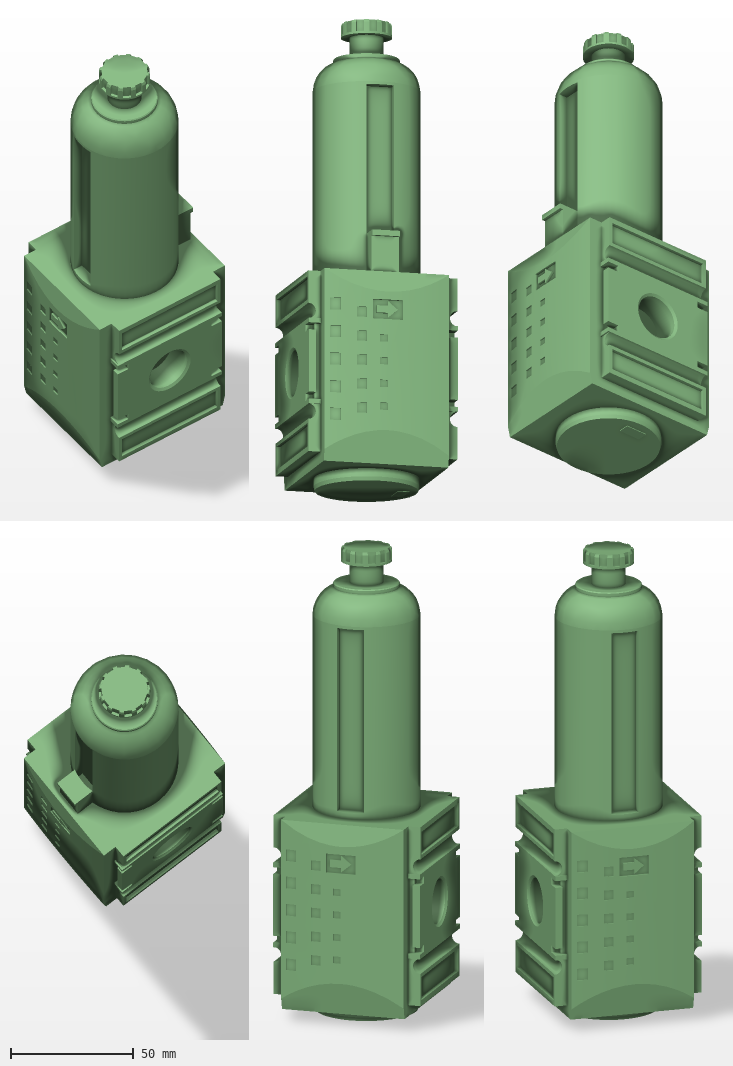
import cadquery as cq
import math


block_width = 63.0
block_depth = 52.4
block_height = 75.4
flange_setback = 0.7
block_top = block_height / 2
block_side = block_width / 2
block_front = block_depth / 2

pad_reach = 30.0
pad_base_half = 19.7
pad_tip_half = 13.0

cover_width = 52.6
cover_half = cover_width / 2
overall_depth = 67.13
crown_reach = overall_depth / 2
crown_edge_reach = 31.5
crown_rise = crown_reach - crown_edge_reach
slope_start = 28.9
slope_rate = crown_rise / (block_top - slope_start)

base_height = 4.7
base_bottom = -block_top - base_height
cap_radius = 21.6
cap_height = 5.0
cap_chamfer_height = 1.6
cap_chamfer_width = 0.5
cap_bottom = base_bottom - cap_height
key_size = (4.7, 10.0)
key_centre = (-14.6, -0.9)

port_radius = 9.4
port_mouth_radius = 10.5
port_mouth_depth = 0.8
port_depth = 12.0
groove_radius = 3.15
groove_height = 21.0
recess_size = (48.0, 9.7)
recess_height = 30.6
recess_depth = 1.6

channel_half = 15.9
lip_half = 13.0
lip_thickness = 3.1
channel_depth = 2.2
pocket_width = 3.1

bowl_radius = 22.0
shoulder_height = 118.9
dome_top = 130.5
dome_top_radius = 13.6
dome_fall = bowl_radius - dome_top_radius
dome_rise = dome_top - shoulder_height
dome_arc_radius = (dome_fall**2 + dome_rise**2) / (2 * dome_fall)
plate_height = 1.9
plate_chamfer = 0.4
plate_top = dome_top + plate_height
window_width = 11.6
window_bottom = 40.3
window_top = 117.7
window_floor = 17.2

overall_height = 195.0
neck_radius = 7.0
knob_bottom = 141.4
knob_top = 147.3
knob_radius = 10.5
knob_rim_height = 0.9
knob_chamfer_height = 1.1
knob_chamfer_width = 0.5
flute_count = 12
flute_width = 3.2
flute_floor = 9.3

key_bottom = knob_top - overall_height

latch_top = 55.2
latch_stem_reach = 28.9
latch_head_reach = 30.4
latch_head_height = 2.3

mark_depth = 0.6
arrow_window_depth = 1.2
mark_columns = [
    (-21.8, 4.4, 5.0, 11.5, (-2, -1, 0, 1, 2)),
    (-10.9, 4.0, 4.2, 10.0, (-2, -1, 0, 1, 2)),
    (-1.8, 3.2, 3.0, 9.5, (-2, -1, 0, 1)),
]
arrow_window_size = (12.7, 8.1)
arrow_height = 21.5
arrow_tail = -4.7
arrow_neck = 0.0
arrow_tip = 4.2
arrow_shaft_half = 1.5
arrow_head_half = 3.4


def box(x_range, y_range, z_range):
    """Axis-aligned box spanning the three ranges."""
    size = [high - low for low, high in (x_range, y_range, z_range)]
    corner = cq.Vector(x_range[0], y_range[0], z_range[0])
    return cq.Workplane(obj=cq.Solid.makeBox(*size, corner))


def make_pad():
    """Full-height trapezoidal pad on the block's +Y face."""
    outline = cq.Workplane("XY").workplane(offset=-block_top).polyline([
        (-pad_base_half, 0),
        (-pad_base_half, block_front),
        (-pad_tip_half, pad_reach),
        (pad_tip_half, pad_reach),
        (pad_base_half, block_front),
        (pad_base_half, 0),
    ]).close()
    return outline.extrude(block_height)


def sloped_profile():
    """Side outline in YZ shared by the covers and the base plate: upright, with sloped ends."""
    base_reach = crown_edge_reach - slope_rate * base_height
    return [
        (0, block_top),
        (crown_edge_reach, block_top),
        (crown_reach, slope_start),
        (crown_reach, -slope_start),
        (base_reach, base_bottom),
        (0, base_bottom),
    ]


def make_sloped_slab():
    """The sloped outline swept across the width of the covers, on the +Y side."""
    outline = cq.Workplane("YZ").workplane(offset=-cover_half).polyline(sloped_profile()).close()
    return outline.extrude(cover_width)


def make_latch():
    """Hooked latch standing on the block, hollowed to clear the bowl."""
    profile = [
        (0, block_top),
        (latch_stem_reach, block_top),
        (latch_stem_reach, latch_top - latch_head_height),
        (latch_head_reach, latch_top - latch_head_height),
        (latch_head_reach, latch_top),
        (0, latch_top),
    ]
    plane = cq.Workplane("YZ").workplane(offset=-window_width / 2)
    latch = plane.polyline(profile).close().extrude(window_width)
    clearance = cq.Workplane("XY").workplane(offset=block_top).circle(bowl_radius).extrude(latch_top)
    return latch.cut(clearance)


def make_end_cap():
    """Round cap under the base plate, with a small key on its lower face."""
    cap = cq.Workplane("XY").workplane(offset=cap_bottom).circle(cap_radius).extrude(cap_height)
    cap = cap.faces("<Z").chamfer(cap_chamfer_height, cap_chamfer_width)
    key_plane = cq.Workplane("XY").workplane(offset=key_bottom).center(*key_centre)
    return cap.union(key_plane.rect(*key_size).extrude(cap_bottom - key_bottom))


def make_port_cutter():
    """Blind bore with a chamfered mouth in the block's -X face."""
    bore_end = -block_side + port_depth
    profile = [
        (-block_side, 0),
        (-block_side, port_mouth_radius),
        (-block_side + port_mouth_depth, port_radius),
        (bore_end, port_radius),
        (bore_end, 0),
    ]
    return cq.Workplane("XY").polyline(profile).close().revolve(360, (0, 0), (1, 0))


def make_corner_cutter():
    """C-shaped clamp channel behind a lip at the (-X, -Y) corner, with a pocket at each end."""
    to_lip = (-block_side, -block_side + lip_thickness)
    channel = box((-block_side, -cover_half), (-block_front, -block_front + channel_depth),
                  (-channel_half, channel_half))
    channel = channel.cut(box(to_lip, (-block_front, -block_front + channel_depth), (-lip_half, lip_half)))
    pocket_start = -block_front + channel_depth
    for z_range in ((-channel_half, -lip_half), (lip_half, channel_half)):
        channel = channel.union(box(to_lip, (pocket_start, pocket_start + pocket_width), z_range))
    return channel


def make_flange_trim(edge, direction):
    """Strip that sets the end flange back from the block's Y face, outward from the round groove."""
    strip = box((-block_side, -cover_half), (block_front - flange_setback, block_front),
                (groove_height - groove_radius, block_top))
    if edge < 0:
        strip = strip.mirror("XZ")
    if direction < 0:
        strip = strip.mirror("XY")
    return strip


def cut_block_side(block):
    """Cut every detail of the -X side: port, clamp channels, flange trims, round grooves and recesses."""
    block = block.cut(make_port_cutter())
    corner = make_corner_cutter()
    block = block.cut(corner).cut(corner.mirror("XZ"))
    for direction in (-1, 1):
        for edge in (-1, 1):
            block = block.cut(make_flange_trim(edge, direction))
        groove = cq.Workplane("XZ").center(-block_side, direction * groove_height)
        block = block.cut(groove.circle(groove_radius).extrude(block_front, both=True))
        recess = cq.Workplane("YZ", origin=(-block_side, 0, direction * recess_height))
        block = block.cut(recess.rect(*recess_size).extrude(recess_depth))
    return block


def make_housing():
    """Block with its pads, base plate, end cap and latch."""
    block = cq.Workplane("XY").box(block_width, block_depth, block_height)
    for _ in range(2):
        block = cut_block_side(block).rotate((0, 0, 0), (0, 0, 1), 180)
    pad = make_pad()
    slab = make_sloped_slab()
    base = slab.union(slab.mirror("XZ"))
    base_space = box((-cover_half, cover_half), (-crown_reach, crown_reach), (base_bottom, -block_top))
    base = base.intersect(base_space)
    housing = block.union(pad).union(pad.mirror("XZ")).union(base)
    return housing.union(make_end_cap()).union(make_latch())


def make_mark_bars():
    """Rows of rectangular bars along Y, one for each small mark."""
    marks = cq.Workplane("XZ")
    for x, width, height, pitch, rows in mark_columns:
        marks = marks.pushPoints([(x, row * pitch) for row in rows]).rect(width, height)
    return marks.extrude(crown_reach)


def make_arrow_window_bar():
    """Bar along Y for the flow arrow's window, with the arrow left standing inside it."""
    plane = cq.Workplane("XZ").center(0, arrow_height)
    arrow = plane.polyline([
        (arrow_tail, arrow_shaft_half),
        (arrow_neck, arrow_shaft_half),
        (arrow_neck, arrow_head_half),
        (arrow_tip, 0),
        (arrow_neck, -arrow_head_half),
        (arrow_neck, -arrow_shaft_half),
        (arrow_tail, -arrow_shaft_half),
    ]).close().extrude(crown_reach)
    window = cq.Workplane("XZ").center(0, arrow_height).rect(*arrow_window_size).extrude(crown_reach)
    return window.cut(arrow)


def make_crown(inset):
    """Slab from the XZ plane out to a crowned -Y face, set back from the cover's outer face by inset."""
    outline = cq.Workplane("XY").workplane(offset=-block_top).moveTo(-cover_half, 0)
    outline = outline.lineTo(-cover_half, -crown_edge_reach + inset)
    outline = outline.threePointArc((0, -crown_reach + inset), (cover_half, -crown_edge_reach + inset))
    return outline.lineTo(cover_half, 0).close().extrude(block_height)


def make_front_cover():
    """Crowned cover with sloped ends on the -Y side, hollowed to fit over the block and pad."""
    cover = make_crown(0).intersect(make_sloped_slab().mirror("XZ")).cut(make_pad().mirror("XZ"))
    cover = cover.cut(cq.Workplane("XY").box(block_width, block_depth, block_height))
    cover = cover.cut(make_mark_bars().cut(make_crown(mark_depth)))
    return cover.cut(make_arrow_window_bar().cut(make_crown(arrow_window_depth)))


def make_bowl():
    """Domed bowl with a top plate and a flat-floored window on each Y side."""
    arc_centre = bowl_radius - dome_arc_radius
    half_angle = math.atan2(dome_rise, dome_top_radius - arc_centre) / 2
    dome_middle = (
        arc_centre + dome_arc_radius * math.cos(half_angle),
        shoulder_height + dome_arc_radius * math.sin(half_angle),
    )
    profile = cq.Workplane("XZ").moveTo(0, block_top).lineTo(bowl_radius, block_top)
    profile = profile.lineTo(bowl_radius, shoulder_height)
    profile = profile.threePointArc(dome_middle, (dome_top_radius, dome_top))
    profile = profile.lineTo(dome_top_radius, plate_top - plate_chamfer)
    profile = profile.lineTo(dome_top_radius - plate_chamfer, plate_top).lineTo(0, plate_top).close()
    bowl = profile.revolve(360, (0, 0), (0, 1))
    window = box((-window_width / 2, window_width / 2), (window_floor, bowl_radius),
                 (window_bottom, window_top))
    return bowl.cut(window).cut(window.mirror("XZ"))


def make_knob():
    """Fluted drain knob on a plain neck."""
    neck = cq.Workplane("XY").workplane(offset=plate_top).circle(neck_radius).extrude(knob_bottom - plate_top)
    head = cq.Workplane("XY").workplane(offset=knob_bottom).circle(knob_radius)
    head = head.extrude(knob_top - knob_bottom)
    head = head.faces(">Z").chamfer(knob_chamfer_height, knob_chamfer_width)
    flute = box((-flute_width / 2, flute_width / 2), (flute_floor, knob_radius),
                (knob_bottom + knob_rim_height, knob_top))
    for index in range(flute_count):
        head = head.cut(flute.rotate((0, 0, 0), (0, 0, 1), index * 360 / flute_count))
    return neck.union(head)


housing = make_housing()
front_cover = make_front_cover()
back_cover = front_cover.rotate((0, 0, 0), (0, 0, 1), 180)
bowl = make_bowl()
knob = make_knob()

result = cq.Compound.makeCompound([
    *housing.solids().vals(),
    *front_cover.solids().vals(),
    *back_cover.solids().vals(),
    *bowl.solids().vals(),
    *knob.solids().vals(),
])